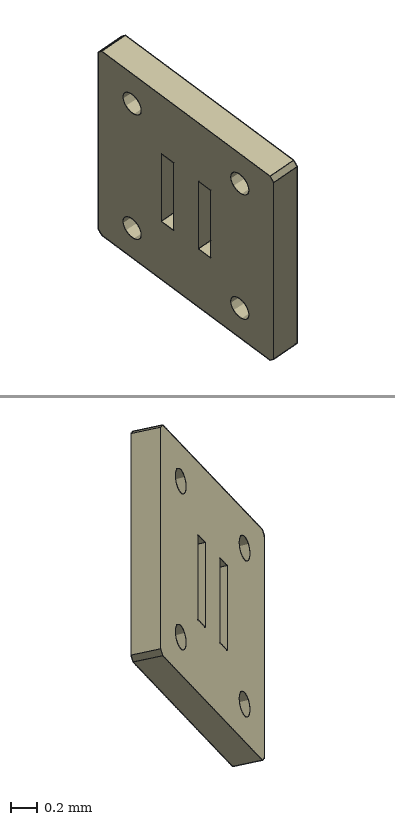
import cadquery as cq

width = 1.94
thickness = 0.25
height = 2.0
corner_chamfer = 0.04

hole_diameter = 0.2
hole_spacing_x = 1.19
hole_spacing_z = 1.352

slot_width = 0.135
slot_height = 0.735
slot_spacing = 0.41

plate = cq.Workplane("XY").box(width, thickness, height).edges("|Y").chamfer(corner_chamfer)

holes = (
    cq.Workplane("XZ")
    .rect(hole_spacing_x, hole_spacing_z, forConstruction=True)
    .vertices()
    .circle(hole_diameter / 2)
    .extrude(thickness, both=True)
)

slots = (
    cq.Workplane("XZ")
    .rarray(slot_spacing, 0.02, 2, 1)
    .rect(slot_width, slot_height)
    .extrude(thickness, both=True)
)

result = plate.cut(holes).cut(slots)